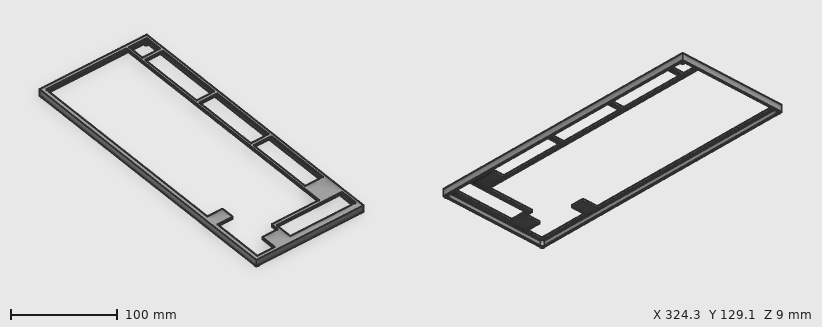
import cadquery as cq

length = 324.34
width = 129.07
foot_height = 1.0
frame_height = 8.0
plate_thickness = 2.8

left_rim = 4.0
back_rim = 3.1
front_rim = 4.7
right_rim = 4.3
wall_thickness = 2.0

row_window_depth = 21.5
small_window_length = 20.0
long_window_length = 77.2
long_window_count = 3
row_bar = 4.0
row_front_bar = 3.0

side_window_length = 20.5
side_window_depth = 78.9
side_window_right_margin = 7.7
side_bar = 4.0
side_front_bar = 2.8

pad_length = 18.6
pad_depth = 18.6
tab_length = 15.2
tab_depth = 18.3
tab_left_from_left_edge = 245.3

foot_diameter = 4.0
foot_inset = 2.5

left = -length / 2
right = length / 2
front = -width / 2
back = width / 2
frame_bottom = foot_height
frame_top = frame_bottom + frame_height
plate_bottom = frame_top - plate_thickness

window_back = back - back_rim
row_window_front = window_back - row_window_depth
side_window_right = right - side_window_right_margin
side_window_left = side_window_right - side_window_length
side_window_front = window_back - side_window_depth
main_left = left + left_rim
main_right = right - right_rim
main_front = front + front_rim
main_back = row_window_front - row_front_bar
step_x = side_window_left - side_bar
step_y = side_window_front - side_front_bar
pad_left = main_right - pad_length
pad_front = step_y - pad_depth
tab_left = left + tab_left_from_left_edge
tab_right = tab_left + tab_length
tab_back = main_front + tab_depth


def block(x_min, x_max, y_min, y_max, z_min, z_max):
    """Box between two corners."""
    size = (x_max - x_min, y_max - y_min, z_max - z_min)
    return cq.Workplane("XY").box(*size, centered=False).translate((x_min, y_min, z_min))


def window(x_min, x_max, y_min, y_max):
    """Cutter for a rectangular opening through the plate."""
    return block(x_min, x_max, y_min, y_max, plate_bottom, frame_top)


def underside_recess():
    """Space inside the walls, below the plate."""
    return block(
        left + wall_thickness,
        right - wall_thickness,
        front + wall_thickness,
        back - wall_thickness,
        frame_bottom,
        plate_bottom,
    )


def main_opening():
    """Stepped opening around the pad on the right and the tab at the front."""
    outline = [
        (main_left, main_front),
        (tab_left, main_front),
        (tab_left, tab_back),
        (tab_right, tab_back),
        (tab_right, main_front),
        (main_right, main_front),
        (main_right, pad_front),
        (pad_left, pad_front),
        (pad_left, step_y),
        (step_x, step_y),
        (step_x, main_back),
        (main_left, main_back),
    ]
    plane = cq.Workplane("XY", origin=(0, 0, plate_bottom))
    return plane.polyline(outline).close().extrude(plate_thickness)


def corner_feet():
    """Round pegs in the four corners, running from the plate to below the walls."""
    return (
        cq.Workplane("XY")
        .rect(length - 2 * foot_inset, width - 2 * foot_inset, forConstruction=True)
        .vertices()
        .circle(foot_diameter / 2)
        .extrude(plate_bottom)
    )


frame = block(left, right, front, back, frame_bottom, frame_top)
frame = frame.cut(underside_recess()).cut(main_opening())

small_window_right = main_left + small_window_length
frame = frame.cut(window(main_left, small_window_right, row_window_front, window_back))
for index in range(long_window_count):
    window_left = small_window_right + row_bar + index * (long_window_length + row_bar)
    frame = frame.cut(window(window_left, window_left + long_window_length, row_window_front, window_back))
frame = frame.cut(window(side_window_left, side_window_right, side_window_front, window_back))

result = frame.union(corner_feet())